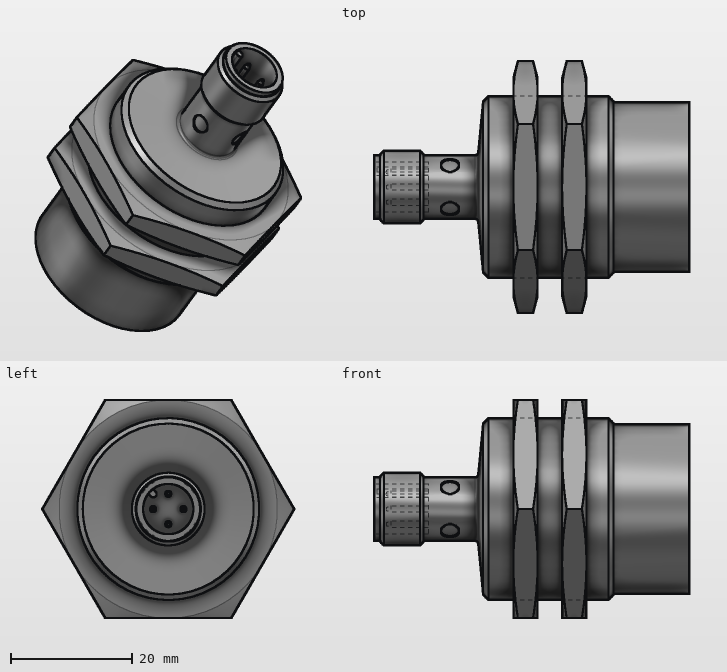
import cadquery as cq
import math


barrel_radius = 30.0 / 2
barrel_start = 17.95
barrel_end = 39.5
barrel_chamfer = 0.9
shoulder_start = 17.1

face_radius = 28.0 / 2
total_length = 51.97

neck_radius = 10.5 / 2
collar_radius = 12.0 / 2
collar_start = 0.97
collar_end = 8.17
collar_chamfer = 0.62
root_fillet = 0.5

socket_radius = 8.3 / 2
socket_depth = 9.0

pin_count = 4
pin_radius = 1.0 / 2
pin_circle_radius = 2.5
pin_tip_depth = 2.0
pin_tip_chamfer_length = 0.75
pin_tip_chamfer_width = 0.25

key_radius = 0.55
key_center_radius = 3.5
key_depth = 0.5
key_angle = 45.0

window_count = 4
window_radius = 3.0 / 2
window_center = 12.5
window_floor_radius = 5.0

nut_flats = 36.0
nut_width = 4.0
nut_chamfer_angle = 15.0
nut_starts = (22.95, 31.0)


def make_turned_shell():
    """Turned outside of the sensor, from the plug to the sensing face."""
    collar_foot_radius = collar_radius - collar_chamfer
    outline = (
        cq.Workplane("XY")
        .moveTo(0, 0)
        .lineTo(0, neck_radius)
        .lineTo(collar_start, neck_radius)
        .lineTo(collar_start, collar_foot_radius)
        .lineTo(collar_start + collar_chamfer, collar_radius)
        .lineTo(collar_end - collar_chamfer, collar_radius)
        .lineTo(collar_end, collar_foot_radius)
        .lineTo(collar_end, neck_radius)
        .lineTo(shoulder_start, neck_radius)
        .lineTo(barrel_start, barrel_radius - barrel_chamfer)
        .lineTo(barrel_start + barrel_chamfer, barrel_radius)
        .lineTo(barrel_end - barrel_chamfer, barrel_radius)
        .lineTo(barrel_end, barrel_radius - barrel_chamfer)
        .lineTo(barrel_end, face_radius)
        .lineTo(total_length, face_radius)
        .lineTo(total_length, 0)
        .close()
    )
    shell = outline.revolve(360, (0, 0, 0), (1, 0, 0))
    reach = root_fillet / 2
    root_edge = cq.selectors.BoxSelector(
        (shoulder_start - reach, -collar_radius, -collar_radius),
        (shoulder_start + reach, collar_radius, collar_radius),
        boundingbox=True,
    )
    return shell.edges(root_edge).fillet(root_fillet)


def make_pin():
    """One contact pin with a tapered tip, standing on the socket floor."""
    return (
        cq.Workplane("XY")
        .moveTo(pin_tip_depth, 0)
        .lineTo(pin_tip_depth, pin_radius - pin_tip_chamfer_width)
        .lineTo(pin_tip_depth + pin_tip_chamfer_length, pin_radius)
        .lineTo(socket_depth, pin_radius)
        .lineTo(socket_depth, 0)
        .close()
        .revolve(360, (0, 0, 0), (1, 0, 0))
    )


def make_key():
    """Round-nosed key that runs along the socket wall to its floor."""
    wall_middle_radius = (socket_radius + neck_radius) / 2
    key_length = socket_depth - key_depth
    nose = cq.Workplane("YZ", origin=(key_depth, 0, 0)).center(key_center_radius, 0)
    rail = (
        cq.Workplane("YZ", origin=(key_depth, 0, 0))
        .center((key_center_radius + wall_middle_radius) / 2, 0)
        .rect(wall_middle_radius - key_center_radius, 2 * key_radius)
        .extrude(key_length)
    )
    key = nose.circle(key_radius).extrude(key_length).union(rail)
    return key.rotate((0, 0, 0), (1, 0, 0), key_angle)


def make_window_cutter():
    """Round cutter for the top of the neck, with a floor concentric with the neck."""
    core = (
        cq.Workplane("YZ", origin=(window_center - 2 * window_radius, 0, 0))
        .circle(window_floor_radius)
        .extrude(4 * window_radius)
    )
    plug = cq.Workplane("XY", origin=(window_center, 0, 0)).circle(window_radius).extrude(collar_radius)
    return plug.cut(core)


def make_sensor():
    """Sensor body with its socket, pins, key and indicator windows."""
    sensor = make_turned_shell()
    socket = cq.Workplane("YZ").circle(socket_radius).extrude(socket_depth)
    sensor = sensor.cut(socket).union(make_key())
    for index in range(pin_count):
        angle = index * 360 / pin_count
        pin = make_pin().translate((0, pin_circle_radius, 0))
        sensor = sensor.union(pin.rotate((0, 0, 0), (1, 0, 0), angle))
    for index in range(window_count):
        angle = (index + 0.5) * 360 / window_count
        sensor = sensor.cut(make_window_cutter().rotate((0, 0, 0), (1, 0, 0), angle))
    return sensor


def make_nut(start):
    """Hexagon nut with flats facing +Z and -Z and both faces chamfered."""
    corner_radius = nut_flats / 2 / math.cos(math.radians(30))
    flat_radius = nut_flats / 2
    chamfer_depth = (corner_radius - flat_radius) * math.tan(math.radians(nut_chamfer_angle))
    hexagon = cq.Workplane("YZ").polygon(6, 2 * corner_radius).extrude(nut_width)
    envelope = (
        cq.Workplane("XY")
        .moveTo(0, 0)
        .lineTo(0, flat_radius)
        .lineTo(chamfer_depth, corner_radius)
        .lineTo(nut_width - chamfer_depth, corner_radius)
        .lineTo(nut_width, flat_radius)
        .lineTo(nut_width, 0)
        .close()
        .revolve(360, (0, 0, 0), (1, 0, 0))
    )
    bore = cq.Workplane("YZ").circle(barrel_radius).extrude(nut_width)
    return hexagon.intersect(envelope).cut(bore).translate((start, 0, 0))


sensor = make_sensor()
nuts = [make_nut(start) for start in nut_starts]

result = cq.Compound.makeCompound([sensor.val(), *[nut.val() for nut in nuts]])